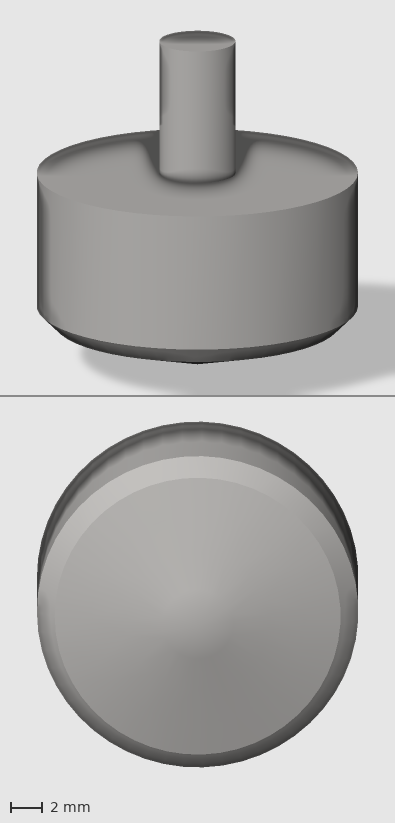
import cadquery as cq

total_height = 21.1
body_diameter = 20.2
stem_diameter = 4.8
stem_length = 8.59
chamfer_size = 1.12
tip_height = 2.7

body_radius = body_diameter / 2
stem_radius = stem_diameter / 2
cone_radius = body_radius - chamfer_size
chamfer_top = tip_height + chamfer_size
body_top = total_height - stem_length

half_profile = (
    cq.Workplane("XZ")
    .moveTo(0, 0)
    .lineTo(cone_radius, tip_height)
    .lineTo(body_radius, chamfer_top)
    .lineTo(body_radius, body_top)
    .lineTo(stem_radius, body_top)
    .lineTo(stem_radius, total_height)
    .lineTo(0, total_height)
    .close()
)

result = half_profile.revolve(360, (0, 0, 0), (0, 1, 0))